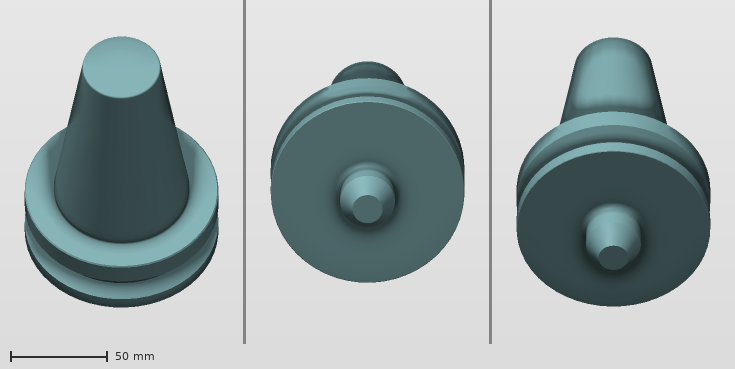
import cadquery as cq

total_height = 164.8
pin_cone_height = 11.4
flange_bottom = 25.0
groove_lower_edge = 32.5
groove_floor_bottom = 36.5
groove_floor_top = 43.2
groove_upper_edge = 47.6
flange_top = 60.0
gauge_band_bottom = 62.6
gauge_plane = 63.1

flange_radius = 100.0 / 2
groove_radius = 42.5
gauge_radius = 35.0
collar_radius = 34.8
pin_radius = 14.2
pin_tip_radius = 7.7

taper_ratio = 7 / 24
taper_end_radius = gauge_radius - (total_height - gauge_plane) * taper_ratio / 2

flange_top_chamfer = 0.7
flange_bottom_chamfer = 0.3
taper_end_fillet = 1.0
pin_root_fillet = 3.0
collar_root_fillet = 0.8

half_section = [
    (0, 0),
    (pin_tip_radius, 0),
    (pin_radius, pin_cone_height),
    (pin_radius, flange_bottom),
    (flange_radius, flange_bottom),
    (flange_radius, groove_lower_edge),
    (groove_radius, groove_floor_bottom),
    (groove_radius, groove_floor_top),
    (flange_radius, groove_upper_edge),
    (flange_radius, flange_top),
    (collar_radius, flange_top),
    (collar_radius, gauge_band_bottom),
    (gauge_radius, gauge_band_bottom),
    (gauge_radius, gauge_plane),
    (taper_end_radius, total_height),
    (0, total_height),
]
body = cq.Workplane("XZ").polyline(half_section).close().revolve(360, (0, 0, 0), (0, 1, 0))


def circular_edges(solid, radius, height):
    """Return the edges of the solid's circle with the given radius and height."""
    tolerance = 0.02
    circles = solid.edges("%CIRCLE").edges(
        cq.selectors.BoxSelector(
            (-radius, -radius, height - tolerance),
            (radius, radius, height + tolerance),
        )
    )
    return circles.filter(lambda edge: abs(edge.radius() - radius) < tolerance)


body = circular_edges(body, pin_radius, flange_bottom).fillet(pin_root_fillet)
body = circular_edges(body, collar_radius, flange_top).fillet(collar_root_fillet)
body = circular_edges(body, flange_radius, flange_bottom).chamfer(flange_bottom_chamfer)
body = circular_edges(body, flange_radius, flange_top).chamfer(flange_top_chamfer)
result = circular_edges(body, taper_end_radius, total_height).fillet(taper_end_fillet)